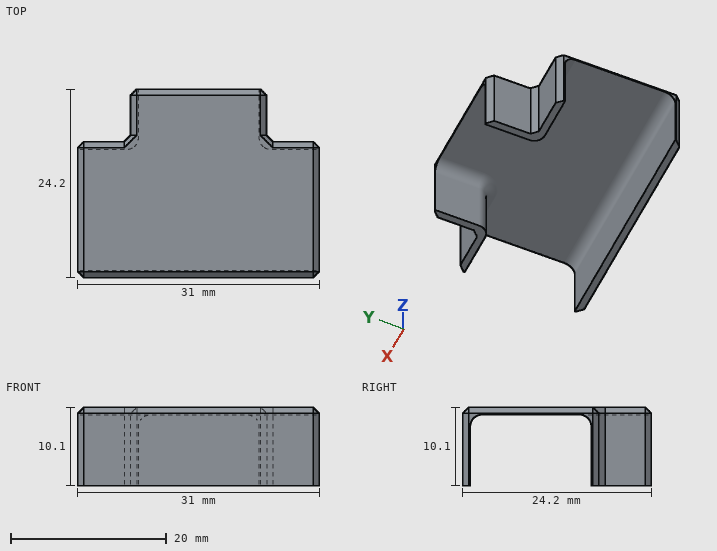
import cadquery as cq

length = 31.0
depth = 24.22
height = 10.1
channel_width = 17.5
wall = 1.0
bevel = 0.8
inner_radius = 1.5

channel_center_y = (channel_width - depth) / 2
passage_width = channel_width - 2 * wall
overrun = 3.1


def tee(bar_length, width, branch_end, tall):
    """T-shaped prism standing on Z = 0, with its branch ending at Y = branch_end."""
    branch_length = branch_end - channel_center_y
    bar = cq.Workplane("XY").box(bar_length, width, tall, centered=(True, True, False))
    branch = cq.Workplane("XY").box(width, branch_length, tall, centered=(True, False, False))
    return bar.union(branch).translate((0, channel_center_y, 0)).clean()


body = tee(length, channel_width, depth / 2, height)
body = body.edges("|Z or >Z").chamfer(bevel)

passage = tee(length + 2 * overrun, passage_width, depth / 2 + overrun, height - wall)
junction_half = passage_width / 2
junction_y = channel_center_y + junction_half
margin = 0.3
passage = passage.edges(
    cq.selectors.BoxSelector(
        (-junction_half - margin, junction_y - margin, 0),
        (junction_half + margin, junction_y + margin, height),
    )
).edges("|Z").fillet(inner_radius)
passage = passage.faces(">Z").edges().fillet(inner_radius)

result = body.cut(passage)